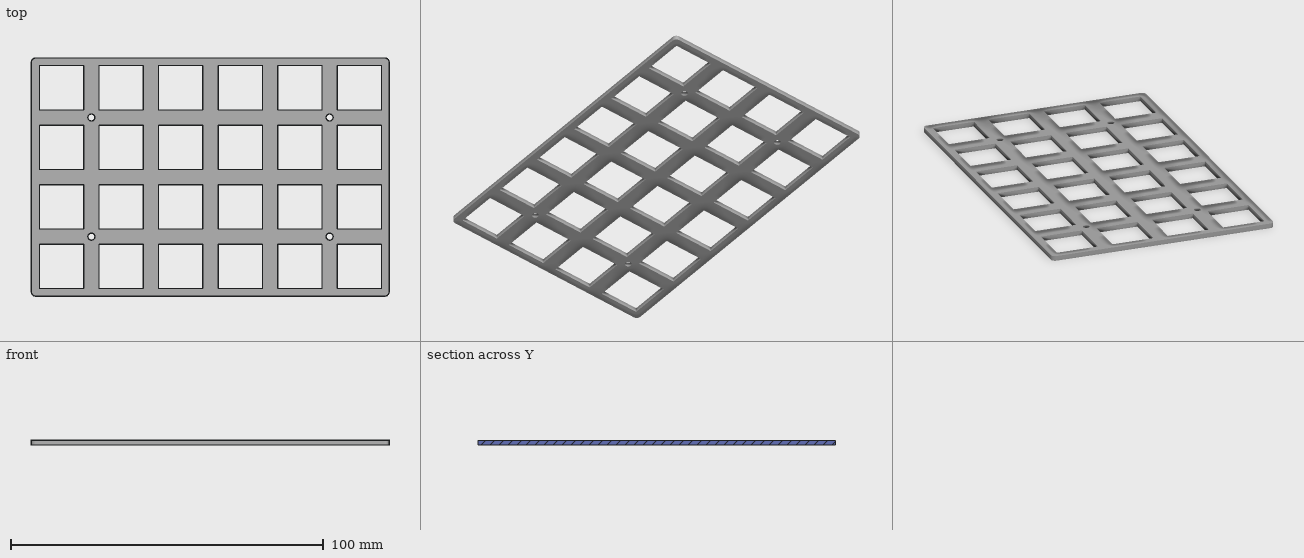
import cadquery as cq

length = 114.5
width = 76.2
thickness = 1.6
corner_radius = 1.5

columns = 6
rows = 4
opening = 14.1
edge_margin = 2.5
pitch = (width - 2 * edge_margin - opening) / (rows - 1)
grid_shift_x = 0.08

hole_diameter = 2.2
hole_span_x = (columns - 2) * pitch
hole_span_y = (rows - 2) * pitch


def plate_blank():
    blank = cq.Workplane("XY").box(length, width, thickness)
    return blank.edges("|Z").fillet(corner_radius)


def grid_plane(plate):
    """Workplane on the top face, centred on the grid of openings."""
    return plate.faces(">Z").workplane(origin=(grid_shift_x, 0, 0))


def cut_openings(plate):
    centers = grid_plane(plate).rarray(pitch, pitch, columns, rows)
    return centers.rect(opening, opening).cutThruAll()


def drill_screw_holes(plate):
    centers = grid_plane(plate).rarray(hole_span_x, hole_span_y, 2, 2)
    return centers.hole(hole_diameter)


plate = plate_blank()
plate = cut_openings(plate)
result = drill_screw_holes(plate)